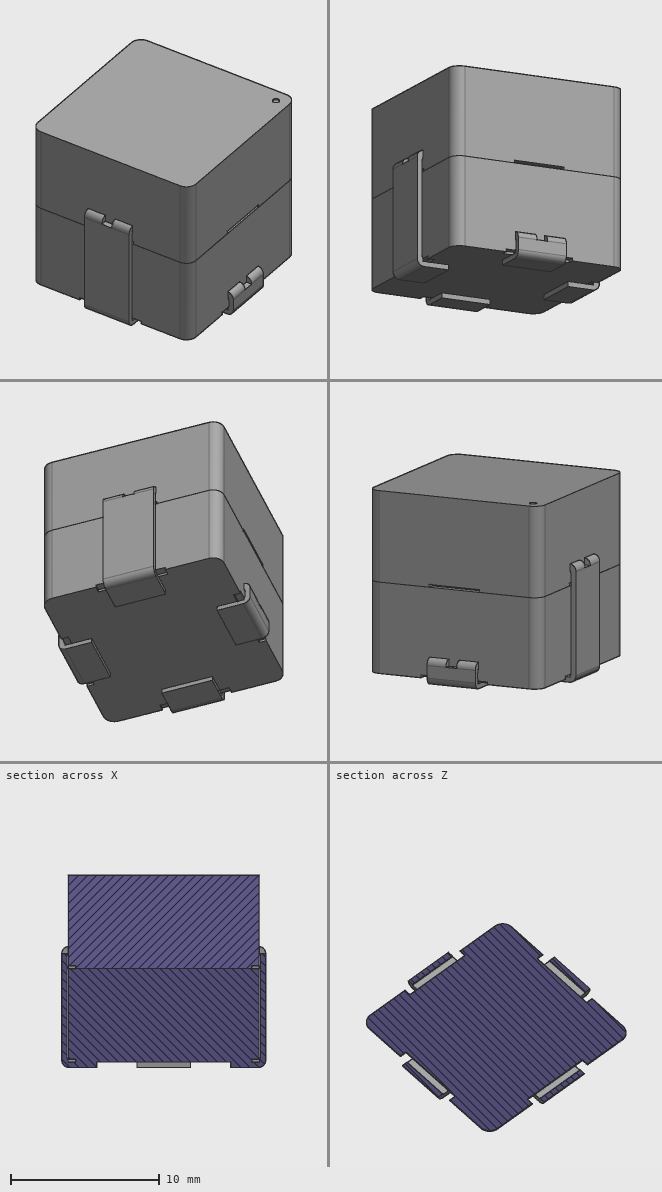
import cadquery as cq

overall_side = 13.79
overall_height = 13.0

strap_width = 3.64
strap_thickness = 0.36
bend_radius = 0.5
inner_bend_radius = 0.4
foot_length = 2.37
tall_tip_z = 7.83
short_tip_z = 1.5
tip_gap_width = 0.8
leg_face = overall_side / 2

core_side = 12.91
core_corner_radius = 0.8
core_top = overall_height - strap_thickness
half_height = core_top / 2
wall = core_side / 2

seam_notch_width = 3.75
foot_notch_width = 4.99
notch_height = 0.19
notch_depth = 0.5

mark_diameter = 0.5
mark_depth = 0.11
mark_inset = 0.99
mark_position = wall - mark_inset


def core_half(bottom_z):
    """One half of the core, with rounded vertical corners."""
    return (
        cq.Workplane("XY", origin=(0, 0, bottom_z))
        .rect(core_side, core_side)
        .extrude(half_height)
        .edges("|Z")
        .fillet(core_corner_radius)
    )


def cut_side_notches(half, bottom_z, width):
    """Cut a notch up from the bottom edge of each of the four side faces."""
    notch = (
        cq.Workplane("XY", origin=(wall - notch_depth, 0, bottom_z))
        .box(notch_depth, width, notch_height, centered=(False, True, False))
    )
    for quarter in range(4):
        half = half.cut(turned(notch, quarter))
    return half


def turned(shape, quarter):
    """The shape turned about the Z axis by a number of quarter turns."""
    return shape.rotate((0, 0, 0), (0, 0, 1), 90 * quarter)


def strap_bar(inner_x, outer_x, bottom_z, top_z, radius):
    """A bar as wide as the strap, with both edges on its +X face rounded."""
    return (
        cq.Workplane("XY", origin=(inner_x, 0, bottom_z))
        .box(outer_x - inner_x, strap_width, top_z - bottom_z, centered=(False, True, False))
        .edges("|Y and >X")
        .fillet(radius)
    )


def strap_terminal(tip_z):
    """A bent strap on the +X side whose split hooked tip ends against the core wall."""
    foot_end = leg_face - foot_length
    outside = strap_bar(foot_end, leg_face, -strap_thickness, tip_z, bend_radius)
    inside = strap_bar(foot_end, leg_face - strap_thickness, 0, tip_z - strap_thickness, inner_bend_radius)
    core_space = cq.Workplane("XY").box(wall, strap_width, tip_z, centered=(False, True, False))
    tip_gap = (
        cq.Workplane("XY", origin=(0, 0, tip_z - bend_radius))
        .box(leg_face, tip_gap_width, bend_radius, centered=(False, True, False))
    )
    return outside.cut(inside).cut(core_space).cut(tip_gap)


def upper_core_body():
    """The upper core half, with seam notches and the round mark in one corner of its top."""
    mark = (
        cq.Workplane("XY", origin=(mark_position, mark_position, core_top - mark_depth))
        .circle(mark_diameter / 2)
        .extrude(mark_depth)
    )
    return cut_side_notches(core_half(half_height), half_height, seam_notch_width).cut(mark)


def lower_core_body():
    """The lower core half with its terminals: short on the X sides, tall on the Y sides."""
    body = cut_side_notches(core_half(0), 0, foot_notch_width)
    for quarter, tip_z in enumerate([short_tip_z, tall_tip_z] * 2):
        body = body.union(turned(strap_terminal(tip_z), quarter))
    return body


upper_core = upper_core_body()
lower_core = lower_core_body()

result = cq.Compound.makeCompound([upper_core.solids().val(), lower_core.solids().val()])